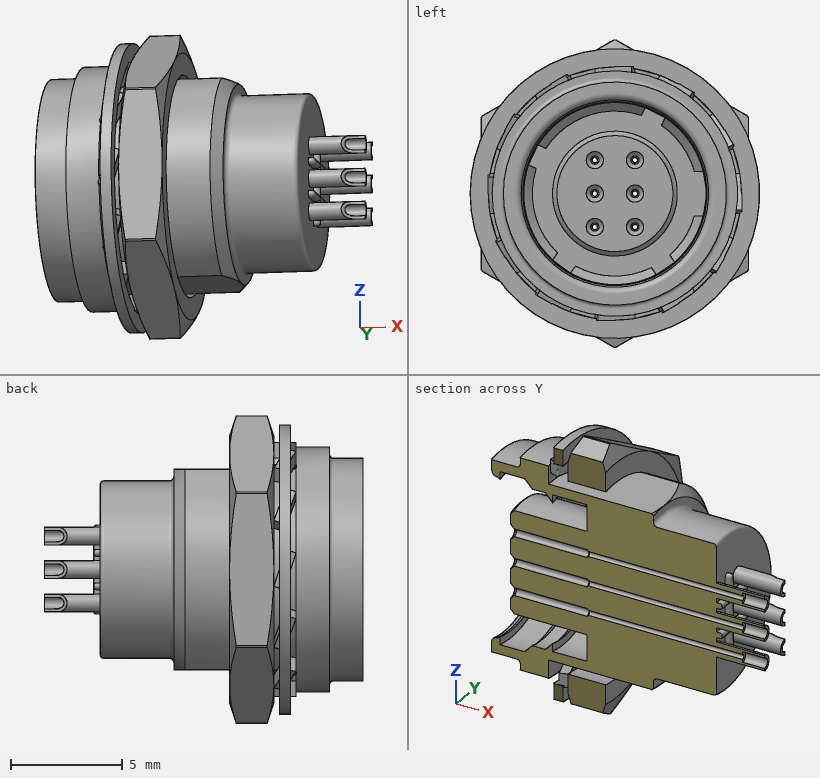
import cadquery as cq
import math


front_end = 1.33
flange_front = 1.5
flange_back = 3.0
thread_end = 8.5
shell_back = 11.8
pin_end = 14.3

thread_radius = 5.0
flange_radius = 5.5
rear_radius = 3.99
thread_chamfer = 0.5
flat_distance = 4.5
front_fillet = flange_front - front_end
shoulder_fillet = 0.2
rear_edge_fillet = 0.17

mouth_radius = 4.5
mouth_fillet = 0.3
lip_end = 0.46
lip_radius = 4.13
recess_radius = 4.5
recess_end = 1.73
bore_radius = 4.09
bore_start = recess_end + recess_radius - bore_radius
web_front = 2.82
web_radius = 3.7
web_back = web_front + bore_radius - web_radius
socket_floor = 5.0

key_slots = [(0, 2.0), (63.5, 1.0), (154.6, 1.0), (233.8, 1.0), (304, 1.0)]

insert_front = 1.0
insert_radius = 2.8
insert_chamfer = 0.2

column_offset = 0.9
row_pitch = 1.5
pin_radius = 0.4
funnel_radius = 0.39
contact_bore_radius = 0.19
contact_bore_end = 5.0
vent_radius = 0.11
cup_radius = 0.26
cup_start = 13.15
cup_slope_start = 13.28
cup_slope_angle = 45.0
cup_fillet = 0.86

rib_height = 0.3
rib_width = 0.31
rib_fillet = 0.15
upright_rib_length = 4.0
cross_rib_length = 2.77

nut_front = 4.0
nut_thickness = 1.99
nut_flats = 12.0
hexagon_half_angle = 30.0
nut_corner_diameter = 13.8
nut_corner_radius = nut_corner_diameter / 2
nut_face_radius = nut_flats / 2
nut_chamfer = 0.3

washer_middle = (flange_back + nut_front) / 2
washer_thickness = 0.5
washer_diameter = 13.0
washer_hole_radius = 5.68
tooth_count = 12
tooth_twist = 18.0
tooth_length = 1.73
tooth_thickness = 0.49
tooth_outer = 5.7
tooth_inner = thread_radius


def turned(outline):
    """Revolve an outline of (x, radius) points about the X axis."""
    return cq.Workplane("XY").polyline(outline).close().revolve(360, (0, 0, 0), (1, 0, 0))


def rod(radius, start, end, y=0, z=0):
    """A cylinder along X."""
    return cq.Workplane("YZ", origin=(start, y, z)).circle(radius).extrude(end - start)


def shell():
    """Stepped outside of the connector, solid inside."""
    outline = (
        cq.Workplane("XY")
        .lineTo(0, thread_radius)
        .lineTo(front_end, thread_radius)
        .radiusArc((flange_front, thread_radius + front_fillet), -front_fillet)
        .lineTo(flange_front, flange_radius)
        .lineTo(flange_back, flange_radius)
        .lineTo(flange_back, thread_radius)
        .lineTo(thread_end - thread_chamfer, thread_radius)
        .lineTo(thread_end, thread_radius - thread_chamfer)
        .lineTo(thread_end, rear_radius + shoulder_fillet)
        .radiusArc((thread_end + shoulder_fillet, rear_radius), -shoulder_fillet)
        .lineTo(shell_back - rear_edge_fillet, rear_radius)
        .radiusArc((shell_back, rear_radius - rear_edge_fillet), rear_edge_fillet)
        .lineTo(shell_back, 0)
        .close()
    )
    body = outline.revolve(360, (0, 0, 0), (1, 0, 0))
    flat_length = thread_end - flange_back
    for side in (1, -1):
        depth = thread_radius - flat_distance
        flat = cq.Workplane("XY").box(flat_length, 2 * thread_radius, depth, centered=(False, True, True))
        body = body.cut(flat.translate((flange_back, 0, side * (flat_distance + depth / 2))))
    return body


def socket_cavity():
    """Stepped bore of the mating face, with a sloped web cut through by key slots."""
    cavity = (
        cq.Workplane("XY")
        .lineTo(0, mouth_radius)
        .radiusArc((mouth_fillet, mouth_radius - mouth_fillet), -mouth_fillet)
        .lineTo(lip_end, lip_radius)
        .lineTo(lip_end, recess_radius)
        .lineTo(recess_end, recess_radius)
        .lineTo(bore_start, bore_radius)
        .lineTo(web_front, bore_radius)
        .lineTo(web_back, web_radius)
        .lineTo(web_back, bore_radius)
        .lineTo(socket_floor, bore_radius)
        .lineTo(socket_floor, 0)
        .close()
        .revolve(360, (0, 0, 0), (1, 0, 0))
    )
    web_thickness = web_back - web_front
    full_bore = rod(bore_radius, web_front, web_back)
    for angle, width in key_slots:
        slot = cq.Workplane("XY").box(web_thickness, bore_radius, width, centered=(False, False, True))
        slot = slot.translate((web_front, -bore_radius, 0)).rotate((0, 0, 0), (1, 0, 0), -angle)
        cavity = cavity.union(slot.intersect(full_bore))
    return cavity


def insert():
    """Round contact carrier standing on the socket floor."""
    return rod(insert_radius, insert_front, socket_floor).faces("<X").chamfer(insert_chamfer)


def pin_ribs():
    """One upright rib and two cross ribs, round-ended, separating the pins."""
    back = cq.Workplane("YZ", origin=(shell_back, 0, 0))
    ribs = back.slot2D(upright_rib_length, rib_width, 90).extrude(rib_height)
    for side in (1, -1):
        rib = back.center(0, side * row_pitch / 2).slot2D(cross_rib_length, rib_width).extrude(rib_height)
        ribs = ribs.union(rib)
    return ribs.faces(">X").edges().fillet(rib_fillet)


def solder_pin(side, z):
    """Pin with a hollow end whose outward half is cut away."""
    pin = rod(pin_radius, shell_back, pin_end)
    slope = math.radians(cup_slope_angle)
    corner = cup_slope_start + pin_radius / math.tan(slope)
    bend = cup_fillet * math.tan(slope / 2)
    opening = (
        cq.Workplane("XY", origin=(0, 0, -pin_radius))
        .moveTo(cup_slope_start, pin_radius)
        .lineTo(corner - bend * math.cos(slope), bend * math.sin(slope))
        .radiusArc((corner + bend, 0), -cup_fillet)
        .lineTo(pin_end, 0)
        .lineTo(pin_end, pin_radius)
        .close()
        .extrude(2 * pin_radius)
    )
    pin = pin.cut(opening)
    if side < 0:
        pin = pin.mirror("XZ")
    return pin.translate((0, side * column_offset, z))


def contact_hole(y, z):
    """Funnel, contact bore, narrow vent and solder cup in one line."""
    funnel_end = insert_front + funnel_radius - contact_bore_radius
    cone_end = contact_bore_end + contact_bore_radius - vent_radius
    outline = [
        (insert_front, 0),
        (insert_front, funnel_radius),
        (funnel_end, contact_bore_radius),
        (contact_bore_end, contact_bore_radius),
        (cone_end, vent_radius),
        (cup_start, vent_radius),
        (cup_start, cup_radius),
        (pin_end, cup_radius),
        (pin_end, 0),
    ]
    return turned(outline).translate((0, y, z))


def make_connector():
    """Shell, insert and pins as one solid."""
    connector = shell().cut(socket_cavity()).union(insert()).union(pin_ribs())
    places = [(side, row * row_pitch) for side in (1, -1) for row in (-1, 0, 1)]
    for side, z in places:
        connector = connector.union(solder_pin(side, z))
    for side, z in places:
        connector = connector.cut(contact_hole(side * column_offset, z))
    return connector


def make_nut():
    """Hexagon nut with corners up and down and both faces chamfered."""
    back = nut_front + nut_thickness
    across_corners = nut_flats / math.cos(math.radians(hexagon_half_angle))
    blank = cq.Workplane("YZ", origin=(nut_front, 0, 0)).polygon(6, across_corners).extrude(nut_thickness)
    blank = blank.rotate((0, 0, 0), (1, 0, 0), hexagon_half_angle)
    envelope = turned([
        (nut_front, 0),
        (nut_front, nut_face_radius),
        (nut_front + nut_chamfer, nut_corner_radius),
        (back - nut_chamfer, nut_corner_radius),
        (back, nut_face_radius),
        (back, 0),
    ])
    return blank.intersect(envelope).cut(rod(thread_radius, nut_front, back))


def make_washer():
    """Lock washer with twisted internal teeth that reach the flange and the nut."""
    ring = rod(washer_diameter / 2, 0, washer_thickness).cut(rod(washer_hole_radius, 0, washer_thickness))
    washer = ring.translate((washer_middle - washer_thickness / 2, 0, 0))
    tooth = (
        cq.Workplane("XY")
        .rect(tooth_thickness, tooth_length)
        .extrude(tooth_outer - tooth_inner)
        .rotate((0, 0, 0), (0, 0, 1), -tooth_twist)
        .translate((washer_middle, 0, tooth_inner))
    )
    for index in range(tooth_count):
        washer = washer.union(tooth.rotate((0, 0, 0), (1, 0, 0), index * 360 / tooth_count))
    return washer


connector = make_connector()
nut = make_nut()
washer = make_washer()

result = cq.Compound.makeCompound([connector.val(), nut.val(), washer.val()])